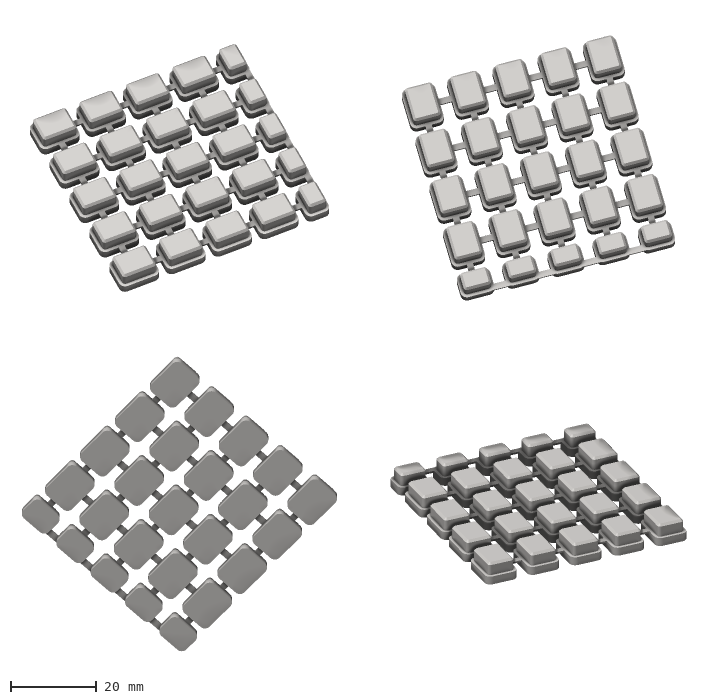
import cadquery as cq

mat_width = 52.1
columns = 5
full_rows = 4

flange_width = 8.1
full_length = 10.1
short_length = 6.05
row_gap = 1.9
flange_height = 2.1
flange_radius = 1.5

cap_inset = 0.75
cap_radius = flange_radius - cap_inset
key_height = 5.3
cap_chamfer = 0.55

web_width = 1.5
web_thickness = 0.5
rear_web_setback = 0.15

column_pitch = (mat_width - flange_width) / (columns - 1)
row_pitch = full_length + row_gap
mat_length = full_rows * row_pitch + short_length

column_centers = [(i - (columns - 1) / 2) * column_pitch for i in range(columns)]
full_row_centers = [-mat_length / 2 + full_length / 2 + j * row_pitch for j in range(full_rows)]
short_row_center = mat_length / 2 - short_length / 2


def rounded_block(width, length, height, radius):
    """Block centred on the Z axis, standing on Z = 0, with rounded vertical edges."""
    block = cq.Workplane("XY").box(width, length, height, centered=(True, True, False))
    return block.edges("|Z").fillet(radius)


def key(length):
    """Flange with a narrower, top-chamfered cap rising through it."""
    flange = rounded_block(flange_width, length, flange_height, flange_radius)
    cap = rounded_block(flange_width - 2 * cap_inset, length - 2 * cap_inset, key_height, cap_radius)
    return flange.union(cap.faces(">Z").chamfer(cap_chamfer))


def web(size_x, size_y, x, y):
    """Thin strip centred at (x, y) with its top flush with the flanges."""
    strip = cq.Workplane("XY").box(size_x, size_y, web_thickness, centered=(True, True, False))
    return strip.translate((x, y, flange_height - web_thickness))


row_web_length = column_centers[-1] - column_centers[0]
column_web_length = short_row_center - full_row_centers[0]
column_web_center = (short_row_center + full_row_centers[0]) / 2
rear_web_center = mat_length / 2 - rear_web_setback - web_width / 2

result = web(row_web_length, web_width, 0, rear_web_center)
for y in full_row_centers:
    result = result.union(web(row_web_length, web_width, 0, y), clean=False)
for x in column_centers:
    result = result.union(web(web_width, column_web_length, x, column_web_center), clean=False)

full_key = key(full_length)
short_key = key(short_length)
for x in column_centers:
    result = result.union(short_key.translate((x, short_row_center, 0)), clean=False)
    for y in full_row_centers:
        result = result.union(full_key.translate((x, y, 0)), clean=False)

result = result.clean()